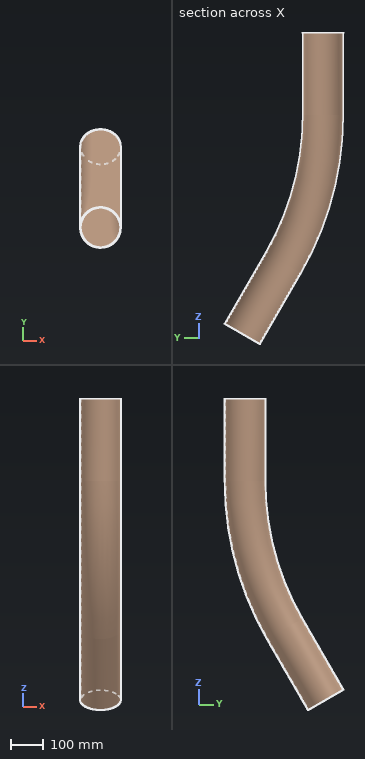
import cadquery as cq
import math

overall_height = 963.0
outer_diameter = 127.0
inner_diameter = 121.0
bend_radius = 915.0
bend_angle = 30.0

bend_sine = math.sin(math.radians(bend_angle))
bend_cosine = math.cos(math.radians(bend_angle))

bend_drop = bend_radius * bend_sine
rim_drop = outer_diameter / 2 * bend_sine
leg_length = (overall_height - bend_drop - rim_drop) / (1 + bend_cosine)

bend_start = (0, 0)
bend_end = (bend_radius * (1 - bend_cosine), -bend_drop)
lower_end = (
    bend_end[0] + leg_length * bend_sine,
    bend_end[1] - leg_length * bend_cosine,
)


def bend_midpoint():
    half_angle = math.radians(bend_angle / 2)
    return (bend_radius * (1 - math.cos(half_angle)), -bend_radius * math.sin(half_angle))


centreline = (
    cq.Workplane("YZ")
    .moveTo(0, leg_length)
    .lineTo(*bend_start)
    .threePointArc(bend_midpoint(), bend_end)
    .lineTo(*lower_end)
)

result = (
    cq.Workplane("XY", origin=(0, 0, leg_length))
    .circle(outer_diameter / 2)
    .circle(inner_diameter / 2)
    .sweep(centreline)
)